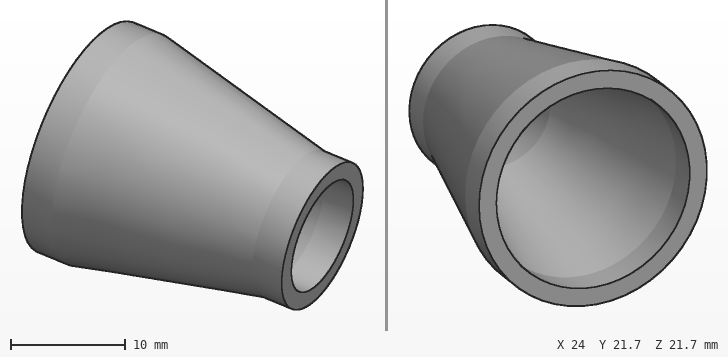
import cadquery as cq

length = 24.0
collar_length = 3.0
large_outer_diameter = 21.7
large_bore_diameter = 18.4
small_outer_diameter = 13.8
small_bore_diameter = 10.5

cone_end = length - collar_length


def stepped_cone(large_diameter, small_diameter):
    """Solid of revolution: large cylinder, cone, small cylinder."""
    large_radius = large_diameter / 2
    small_radius = small_diameter / 2
    return (
        cq.Workplane("XY")
        .moveTo(0, 0)
        .lineTo(0, large_radius)
        .lineTo(collar_length, large_radius)
        .lineTo(cone_end, small_radius)
        .lineTo(length, small_radius)
        .lineTo(length, 0)
        .close()
        .revolve(360, (0, 0, 0), (1, 0, 0))
    )


body = stepped_cone(large_outer_diameter, small_outer_diameter)
bore = stepped_cone(large_bore_diameter, small_bore_diameter)

result = body.cut(bore)